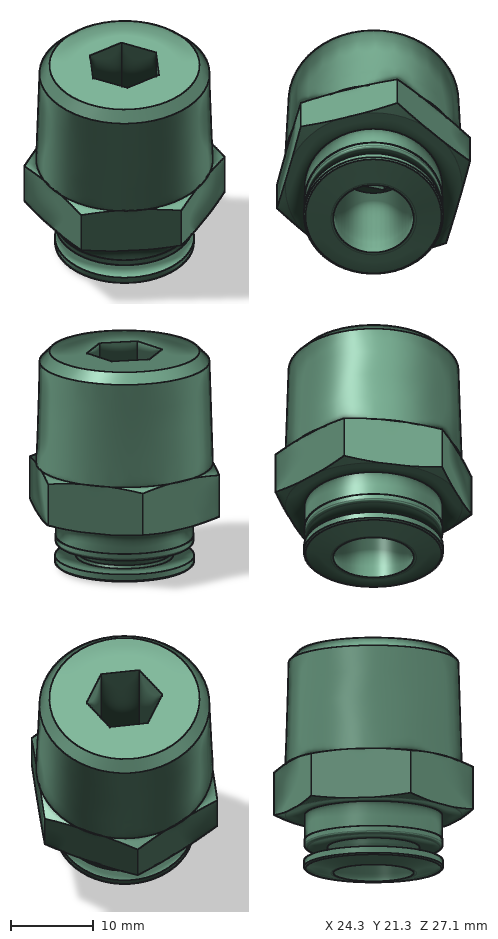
import cadquery as cq
import math

total_height = 27.1
thread_chamfer_start_z = 25.88
hex_top_z = 13.12
hex_bottom_z = 7.1
collar_band_top_z = 4.06
collar_bottom_z = 3.15
flange_top_z = 1.52
flange_rim_bottom_z = 0.73
flange_cone_top_z = 0.55

thread_base_diameter = 21.33
thread_taper = 1 / 16
thread_end_diameter = 18.1

hex_across_corners = 24.25
hex_chamfer_diameter = 21.33
hex_chamfer_drop = 0.4

collar_diameter = 16.6
collar_band_diameter = 16.7
collar_edge_radius = 0.33
neck_diameter = 11.1
neck_flare_width = 0.33
neck_flare_height = 0.33
flange_diameter = 16.8
flange_cone_diameter = 16.4
flange_face_diameter = 10.3

tube_bore_diameter = 9.7
tube_bore_depth = hex_top_z
socket_across_flats = 8.0


def revolve_profile(points):
    """Revolve a closed (radius, height) outline about the Z axis."""
    return cq.Workplane("XZ").polyline(points).close().revolve(360, (0, 0), (0, 1))


def threaded_end():
    base_radius = thread_base_diameter / 2
    taper_length = thread_chamfer_start_z - hex_top_z
    tip_radius = base_radius - taper_length * thread_taper / 2
    return revolve_profile([
        (0, hex_top_z),
        (base_radius, hex_top_z),
        (tip_radius, thread_chamfer_start_z),
        (thread_end_diameter / 2, total_height),
        (0, total_height),
    ])


def wrench_hex():
    """Hexagon with its corners beveled by a shallow cone at both ends."""
    prism = (
        cq.Workplane("XY", origin=(0, 0, hex_bottom_z))
        .polygon(6, hex_across_corners)
        .extrude(hex_top_z - hex_bottom_z)
    )
    corner_radius = hex_across_corners / 2
    face_radius = hex_chamfer_diameter / 2
    envelope = revolve_profile([
        (0, hex_bottom_z),
        (face_radius, hex_bottom_z),
        (corner_radius, hex_bottom_z + hex_chamfer_drop),
        (corner_radius, hex_top_z - hex_chamfer_drop),
        (face_radius, hex_top_z),
        (0, hex_top_z),
    ])
    return prism.intersect(envelope)


def collar():
    """Plain collar ending in a slightly wider band with a rounded lower edge."""
    upper = (
        cq.Workplane("XY", origin=(0, 0, collar_band_top_z))
        .circle(collar_diameter / 2)
        .extrude(hex_bottom_z - collar_band_top_z)
    )
    band = (
        cq.Workplane("XY", origin=(0, 0, collar_bottom_z))
        .circle(collar_band_diameter / 2)
        .extrude(collar_band_top_z - collar_bottom_z)
        .faces("<Z")
        .edges()
        .fillet(collar_edge_radius)
    )
    return upper.union(band)


def release_ring():
    """Neck with a flared root on a flange with a beveled rim and conical underside."""
    neck_radius = neck_diameter / 2
    flange_radius = flange_diameter / 2
    return revolve_profile([
        (0, 0),
        (flange_face_diameter / 2, 0),
        (flange_cone_diameter / 2, flange_cone_top_z),
        (flange_radius, flange_rim_bottom_z),
        (flange_radius, flange_top_z),
        (neck_radius + neck_flare_width, flange_top_z),
        (neck_radius, flange_top_z + neck_flare_height),
        (neck_radius, collar_bottom_z),
        (0, collar_bottom_z),
    ])


def tube_bore():
    return cq.Workplane("XY").circle(tube_bore_diameter / 2).extrude(tube_bore_depth)


def hex_socket():
    """Through hexagon with two corners on the Y axis."""
    across_corners = socket_across_flats / math.cos(math.pi / 6)
    return (
        cq.Workplane("XY")
        .transformed(rotate=(0, 0, 90))
        .polygon(6, across_corners)
        .extrude(total_height)
    )


body = threaded_end().union(wrench_hex()).union(collar()).union(release_ring())
result = body.cut(tube_bore()).cut(hex_socket())